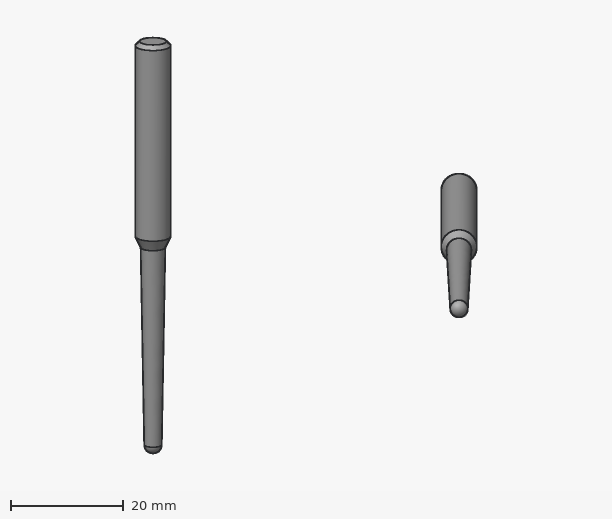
import cadquery as cq
import math

overall_length = 76.2
shank_diameter = 6.35
ball_diameter = 3.175
reach_length = 38.1
taper_half_angle = 1.0
shoulder_half_angle = 25.0
chamfer_size = 0.8

shank_radius = shank_diameter / 2
ball_radius = ball_diameter / 2
taper = math.radians(taper_half_angle)

joint_radius = ball_radius * math.cos(taper)
joint_height = ball_radius * (1 - math.sin(taper))

mid_arc_angle = (math.pi / 2 - taper) / 2
mid_arc_radius = ball_radius * math.sin(mid_arc_angle)
mid_arc_height = ball_radius * (1 - math.cos(mid_arc_angle))

neck_radius = joint_radius + (reach_length - joint_height) * math.tan(taper)
shoulder_length = (shank_radius - neck_radius) / math.tan(math.radians(shoulder_half_angle))
shoulder_top = reach_length + shoulder_length


def revolve_about_z(profile):
    """Turn a closed radius-height profile through a full circle about Z."""
    return profile.revolve(360, (0, 0, 0), (0, 1, 0))


def make_ball_tip():
    """Rounded nose, flat on top where it meets the neck."""
    profile = (
        cq.Workplane("XZ")
        .moveTo(0, 0)
        .threePointArc((mid_arc_radius, mid_arc_height), (joint_radius, joint_height))
        .lineTo(0, joint_height)
        .close()
    )
    return revolve_about_z(profile)


def make_shank():
    """Tapered neck, conical shoulder and chamfered cylindrical shank in one piece."""
    profile = (
        cq.Workplane("XZ")
        .moveTo(0, joint_height)
        .lineTo(joint_radius, joint_height)
        .lineTo(neck_radius, reach_length)
        .lineTo(shank_radius, shoulder_top)
        .lineTo(shank_radius, overall_length - chamfer_size)
        .lineTo(shank_radius - chamfer_size, overall_length)
        .lineTo(0, overall_length)
        .close()
    )
    return revolve_about_z(profile)


ball_tip = make_ball_tip()
shank = make_shank()

result = cq.Compound.makeCompound([ball_tip.val(), shank.val()])